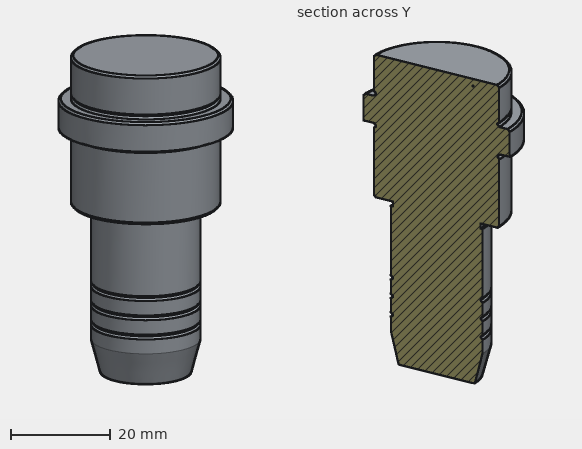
import cadquery as cq
import math

total_height = 66.0
edge_size = 0.5

head_radius = 15.0
head_bottom_z = 35.0
flange_radius = 17.5
flange_thickness = 6.0
flange_setback = 9.0
flange_top_z = total_height - flange_setback
flange_bottom_z = flange_top_z - flange_thickness

shank_radius = 11.0
relief_depth = 0.5
relief_height = 1.0
taper_height = 7.0
taper_angle = 15.0
tip_radius = shank_radius - taper_height * math.tan(math.radians(taper_angle))

groove_count = 3
groove_pitch = 4.0
lowest_groove_z = taper_height + groove_pitch - edge_size


def cylinder(radius, bottom_z, top_z):
    """Solid cylinder on the Z axis between two heights."""
    return cq.Workplane("XY").workplane(offset=bottom_z).circle(radius).extrude(top_z - bottom_z)


def v_groove(radius, middle_z):
    """Ring with a triangular section that cuts a V groove into a cylinder."""
    return (
        cq.Workplane("XZ")
        .moveTo(radius, middle_z - edge_size)
        .lineTo(radius - edge_size, middle_z)
        .lineTo(radius, middle_z + edge_size)
        .close()
        .revolve(360, (0, 0, 0), (0, 1, 0))
    )


def make_head():
    """Plug chamfered at both ends, with a flange and a V groove on each side of it."""
    plug = cylinder(head_radius, head_bottom_z, total_height)
    plug = plug.faces("<Z or >Z").edges().chamfer(edge_size)
    plug = plug.cut(v_groove(head_radius, flange_top_z + edge_size))
    plug = plug.cut(v_groove(head_radius, flange_bottom_z - edge_size))
    flange = cylinder(flange_radius, flange_bottom_z, flange_top_z)
    flange = flange.faces(">Z").edges().chamfer(edge_size)
    return plug.union(flange)


def make_shank():
    """Round shank with a thinner relief at its top, a tapered, rounded tip and V grooves."""
    relief_bottom_z = head_bottom_z - relief_height
    shank = (
        cq.Workplane("XZ")
        .moveTo(0, 0)
        .lineTo(tip_radius, 0)
        .lineTo(shank_radius, taper_height)
        .lineTo(shank_radius, relief_bottom_z)
        .lineTo(shank_radius - relief_depth, relief_bottom_z)
        .lineTo(shank_radius - relief_depth, head_bottom_z)
        .lineTo(0, head_bottom_z)
        .close()
        .revolve(360, (0, 0, 0), (0, 1, 0))
    )
    shank = shank.faces("<Z").edges().fillet(edge_size)
    for index in range(groove_count):
        shank = shank.cut(v_groove(shank_radius, lowest_groove_z + index * groove_pitch))
    return shank


result = make_head().union(make_shank())